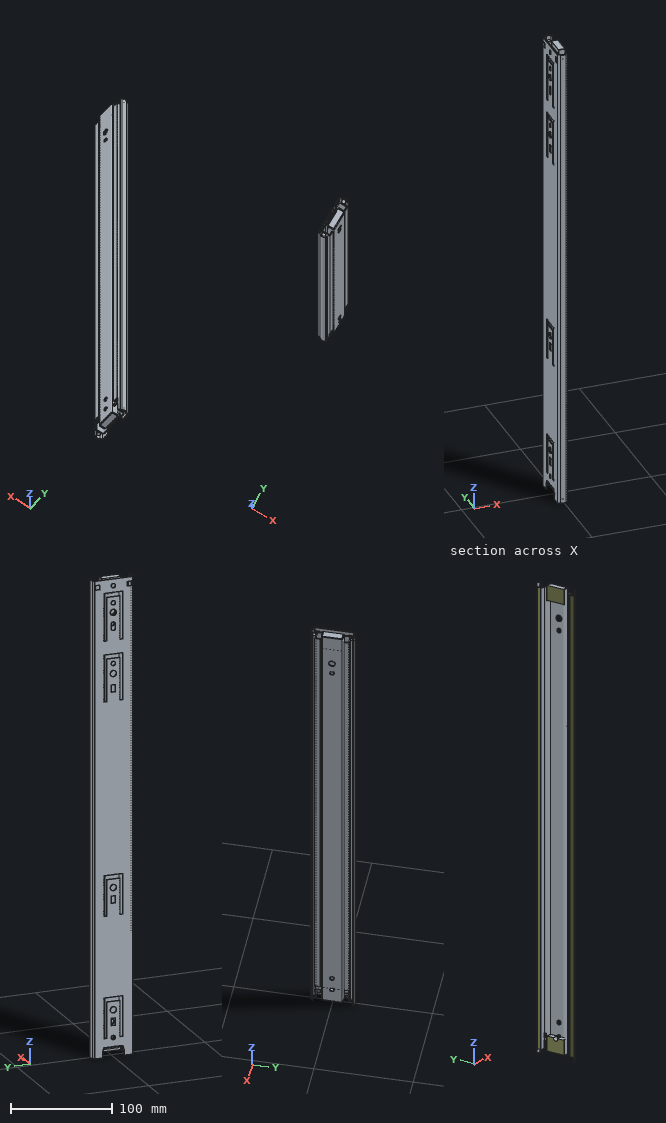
import cadquery as cq
import math

length = 500.0
width = 45.5
depth = 13.0
sheet = 1.2
running_gap = 0.5

cabinet_half = width / 2
cabinet_flat_half = 20.5
race_start_x = 3.0
race_end_x = 9.0
race_middle_x = (race_start_x + race_end_x) / 2
race_rise = 1.5
cabinet_lip_half = cabinet_half - race_rise
cabinet_depth = 10.5

notch_mouth_half = 11.5
notch_top_half = 10.0
notch_height = 10.5
notch_straight = 6.0

tongue_outer_half = 10.0
tongue_inner_half = 7.0
tongue_top_cut = 4.5
tongue_spans = [(20.0, 62.5), (148.0, 190.5), (372.5, 421.5), (436.0, 486.0)]

small_hole = 4.5
screw_hole = 6.5
small_hole_heights = [20.0, 411.5, 475.0, 493.0]
screw_hole_heights = [49.0, 177.0, 401.0, 465.0]
slot_width = 4.5
slot_length = 7.5
slot_heights = [36.5, 164.5, 385.5]
round_slot_length = 9.0
round_slot_height = 450.5

window_height = 493.0
window_y = 17.0
window_size = 4.75

inner_front = 4.5
bumper_end = 21.0

inter_half = 17.5
inter_back = sheet + running_gap
inter_top = 12.0
inter_bend = 2.5
inter_lip_inner = 12.0
inter_rear = 495.5
channel_flat_half = 7.5
channel_rim_half = 10.5
channel_sink = 2.0
lip_reliefs = [(inner_front, 13.5), (16.5, bumper_end)]

drawer_half = 11.0
drawer_bend = 2.0
drawer_mouth = 5.5

plug_start_x = 5.0
nose_half = 7.5
nose_x = 3.0
nose_bottom = 7.0
stop_start = 483.5
through_holes = [(20.0, small_hole), (35.5, small_hole), (452.0, small_hole), (465.0, screw_hole)]

retainer_diameter = 4.0


def extrude_z(sketch, z_start, z_end):
    """Extrude an XY sketch between two heights."""
    return sketch.extrude(z_end - z_start).translate((0, 0, z_start))


def symmetric(half):
    """Join a half section with its mirror image across the XZ plane."""
    return half.union(half.mirror("XZ")).clean()


def box(x_range, half_y, z_range):
    """Box centred on Y = 0."""
    size = (x_range[1] - x_range[0], 2 * half_y, z_range[1] - z_range[0])
    return cq.Workplane("XY").box(*size, centered=(False, True, False)).translate((x_range[0], 0, z_range[0]))


def bore(height, diameter):
    """Round cutter along X through the whole slide."""
    return cq.Workplane("YZ").center(0, height).circle(diameter / 2).extrude(depth)


def front_notch():
    """Cutter for the notch in the front end of the cabinet web."""
    return (
        cq.Workplane("YZ")
        .polyline([
            (-notch_mouth_half, 0),
            (-notch_mouth_half, notch_straight),
            (-notch_top_half, notch_height),
            (notch_top_half, notch_height),
            (notch_mouth_half, notch_straight),
            (notch_mouth_half, 0),
        ])
        .close()
        .extrude(sheet)
    )


def tongue_slot(z_bottom, z_top):
    """U-shaped cutter that leaves a tongue attached at its lower end."""
    web = (0, sheet)
    outline = box(web, tongue_outer_half, (z_bottom, z_top))
    return outline.cut(box(web, tongue_inner_half, (z_bottom, z_top - tongue_top_cut)))


def make_cabinet():
    """Outer channel, open towards +X, with a bulging ball race along each flange."""
    lip_inner = cabinet_lip_half - sheet
    race_half = (race_end_x - race_start_x) / 2
    race_radius = (race_half**2 + race_rise**2) / (2 * race_rise)
    race_centre_y = cabinet_half - race_radius
    inner_race_half = math.sqrt((race_radius - sheet) ** 2 - (lip_inner - race_centre_y) ** 2)
    half = extrude_z(
        cq.Workplane("XY")
        .lineTo(0, cabinet_flat_half)
        .lineTo(race_start_x, cabinet_lip_half)
        .threePointArc((race_middle_x, cabinet_half), (race_end_x, cabinet_lip_half))
        .lineTo(cabinet_depth, cabinet_lip_half)
        .lineTo(cabinet_depth, lip_inner)
        .lineTo(race_middle_x + inner_race_half, lip_inner)
        .threePointArc(
            (race_middle_x, cabinet_half - sheet),
            (race_middle_x - inner_race_half, lip_inner),
        )
        .lineTo(sheet, cabinet_flat_half - sheet)
        .lineTo(sheet, 0)
        .close(),
        0, length,
    )
    cabinet = symmetric(half).cut(front_notch())
    for span in tongue_spans:
        cabinet = cabinet.cut(tongue_slot(*span))
    for height in small_hole_heights:
        cabinet = cabinet.cut(bore(height, small_hole))
    for height in screw_hole_heights:
        cabinet = cabinet.cut(bore(height, screw_hole))
    slots = (
        cq.Workplane("YZ")
        .pushPoints([(0, height) for height in slot_heights])
        .rect(slot_width, slot_length)
        .extrude(sheet)
    )
    round_slot = (
        cq.Workplane("YZ")
        .center(0, round_slot_height)
        .slot2D(round_slot_length, slot_width, 90)
        .extrude(sheet)
    )
    windows = (
        cq.Workplane("YZ")
        .pushPoints([(side * window_y, window_height) for side in (-1, 1)])
        .rect(window_size, window_size)
        .extrude(sheet)
    )
    return cabinet.cut(slots).cut(round_slot).cut(windows)


def make_intermediate():
    """Middle channel, open towards +X, nested inside the cabinet member."""
    inner_half = inter_half - sheet
    channel_back = inter_back + channel_sink
    half = extrude_z(
        cq.Workplane("XY")
        .moveTo(channel_back, 0)
        .lineTo(channel_back, channel_flat_half)
        .lineTo(inter_back, channel_rim_half)
        .lineTo(inter_back, inter_half - inter_bend)
        .radiusArc((inter_back + inter_bend, inter_half), inter_bend)
        .lineTo(inter_top, inter_half)
        .lineTo(inter_top, inter_lip_inner)
        .lineTo(inter_top - sheet, inter_lip_inner)
        .lineTo(inter_top - sheet, inner_half)
        .lineTo(inter_back + inter_bend, inner_half)
        .radiusArc((inter_back + sheet, inter_half - inter_bend), sheet - inter_bend)
        .lineTo(inter_back + sheet, channel_rim_half)
        .lineTo(channel_back + sheet, channel_flat_half)
        .lineTo(channel_back + sheet, 0)
        .close(),
        inner_front, inter_rear,
    )
    intermediate = symmetric(half).cut(box((0, channel_back + sheet), notch_top_half, (0, notch_height)))
    for relief in lip_reliefs:
        intermediate = intermediate.cut(box((inter_top - sheet, inter_top), inter_half, relief))
    return intermediate


def make_drawer():
    """Inner channel, open towards -X, with rounded outer corners."""
    span = (inner_front, length)
    block = box((drawer_mouth, depth), drawer_half, span).edges("|Z and >X").fillet(drawer_bend)
    return block.cut(box((drawer_mouth, depth - sheet), drawer_half - sheet, span))


def make_plug(z_start, z_end):
    """Block that fills the drawer channel between two heights."""
    return box((plug_start_x, depth - sheet), drawer_half - sheet, (z_start, z_end))


def make_front_bumper():
    """Front plug with a nose that has a sloped underside."""
    nose = (
        cq.Workplane("XZ")
        .polyline([
            (plug_start_x, nose_bottom),
            (nose_x, nose_bottom + plug_start_x - nose_x),
            (nose_x, notch_height),
            (plug_start_x, notch_height),
        ])
        .close()
        .extrude(nose_half, both=True)
    )
    return make_plug(inner_front, bumper_end).union(nose)


def make_retainer(side):
    """Round ball retainer running in the race on one side (+1 or -1 along Y)."""
    race_middle = (inter_half + cabinet_half - sheet) / 2
    section = cq.Workplane("XY").center(race_middle_x, side * race_middle).circle(retainer_diameter / 2)
    return extrude_z(section, inner_front, inter_rear)


cabinet = make_cabinet()
intermediate = make_intermediate()
drawer = make_drawer()
front_bumper = make_front_bumper()
rear_stop = make_plug(stop_start, length)
for hole_height, hole_diameter in through_holes:
    cutter = bore(hole_height, hole_diameter)
    intermediate = intermediate.cut(cutter)
    drawer = drawer.cut(cutter)
    front_bumper = front_bumper.cut(cutter)
retainers = [make_retainer(side) for side in (-1, 1)]

result = cq.Compound.makeCompound([
    cabinet.val(),
    intermediate.val(),
    drawer.val(),
    front_bumper.val(),
    rear_stop.val(),
    *[retainer.val() for retainer in retainers],
])